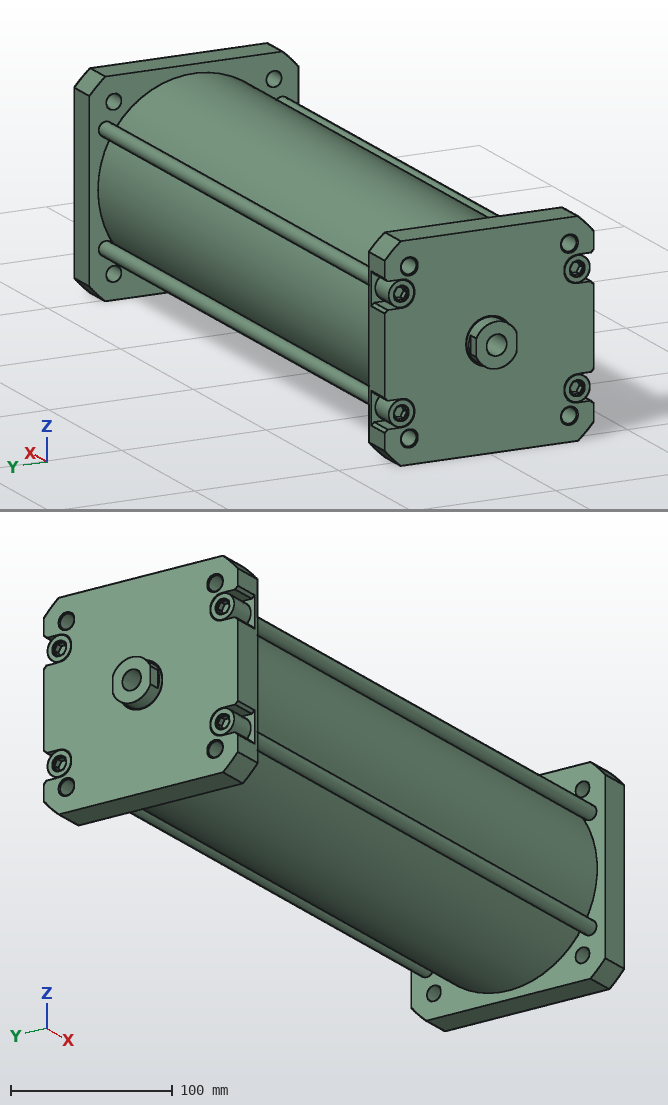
import cadquery as cq
import math

TOTAL_LENGTH = 438.0
ROD_PROTRUSION = 10.0
FRONT_THICKNESS = 22.0
TUBE_LENGTH = 384.0
TIE_ROD_PROTRUSION = 1.0
REAR_THICKNESS = TOTAL_LENGTH - ROD_PROTRUSION - FRONT_THICKNESS - TUBE_LENGTH - TIE_ROD_PROTRUSION
REAR_PLATE_X = FRONT_THICKNESS + TUBE_LENGTH
TIE_ROD_END_X = REAR_PLATE_X + REAR_THICKNESS + TIE_ROD_PROTRUSION

PLATE_SIDE = 145.0
CORNER_CIRCLE_DIAMETER = 190.0
MOUNT_HOLE_DIAMETER = 10.5
MOUNT_HOLE_CHAMFER = 0.75
MOUNT_HOLE_SPACING = 111.0
ROD_BORE_CHAMFER = 1.0

TUBE_OUTER_DIAMETER = 133.0
TUBE_INNER_DIAMETER = 125.0

TIE_ROD_DIAMETER = 10.0
TIE_ROD_SPACING_Y = 122.0
TIE_ROD_SPACING_Z = 77.0
HEAD_DIAMETER = 17.5
HEAD_LENGTH = 18.5
SOCKET_ACROSS_FLATS = 8.0
SOCKET_DEPTH = 6.0
SOCKET_RIM_DIAMETER = 10.5
SOCKET_RIM_DEPTH = 1.5
SLOT_WIDTH = 18.5
SLOT_DEPTH = HEAD_LENGTH
SLOT_MOUTH_CHAMFER = 2.0

ROD_DIAMETER = 30.5
ROD_ACROSS_FLATS = 28.0
FLAT_LENGTH = 8.0
ROD_HOLE_DIAMETER = 14.0
ROD_HOLE_DEPTH = 25.0
DRILL_TIP_ANGLE = 118.0


def cylinder(start_x, length, diameter, y=0.0, z=0.0):
    """Solid cylinder along +X."""
    return cq.Workplane("YZ", origin=(start_x, y, z)).circle(diameter / 2).extrude(length)


def countersink(start_x, diameter, chamfer, y=0.0, z=0.0):
    """45 degree cone that breaks the rim of a hole opening at start_x and running along +X."""
    rim = cq.Workplane("YZ", origin=(start_x, y, z)).circle(diameter / 2 + chamfer)
    return rim.extrude(chamfer, taper=45)


def corner_points(spacing_y, spacing_z):
    """Four points placed symmetrically about the X axis."""
    return [(i * spacing_y / 2, j * spacing_z / 2) for i in (-1, 1) for j in (-1, 1)]


MOUNT_POINTS = corner_points(MOUNT_HOLE_SPACING, MOUNT_HOLE_SPACING)
TIE_ROD_POINTS = corner_points(TIE_ROD_SPACING_Y, TIE_ROD_SPACING_Z)


def blank_plate(start_x, thickness):
    """Square plate with turned corners, mounting holes and tie rod holes."""
    plate = cq.Workplane("YZ", origin=(start_x, 0, 0)).rect(PLATE_SIDE, PLATE_SIDE).extrude(thickness)
    plate = plate.intersect(cylinder(start_x, thickness, CORNER_CIRCLE_DIAMETER))
    for y, z in MOUNT_POINTS:
        plate = plate.cut(cylinder(start_x, thickness, MOUNT_HOLE_DIAMETER, y, z))
    for y, z in TIE_ROD_POINTS:
        plate = plate.cut(cylinder(start_x, thickness, TIE_ROD_DIAMETER, y, z))
    return plate


def head_slot(y, z):
    """Round-ended slot, open to the nearest Y side through a chamfered mouth."""
    side = math.copysign(1, y)
    edge = side * PLATE_SIDE / 2
    chamfer_start = edge - side * SLOT_MOUTH_CHAMFER
    half_width = SLOT_WIDTH / 2
    half_mouth = half_width + SLOT_MOUTH_CHAMFER
    return (
        cq.Workplane("YZ")
        .moveTo(y, z + half_width)
        .lineTo(chamfer_start, z + half_width)
        .lineTo(edge, z + half_mouth)
        .lineTo(edge, z - half_mouth)
        .lineTo(chamfer_start, z - half_width)
        .lineTo(y, z - half_width)
        .threePointArc((y - side * half_width, z), (y, z + half_width))
        .close()
        .extrude(SLOT_DEPTH)
    )


def make_front_plate():
    plate = blank_plate(0, FRONT_THICKNESS)
    plate = plate.cut(cylinder(0, FRONT_THICKNESS, ROD_DIAMETER))
    plate = plate.cut(countersink(0, ROD_DIAMETER, ROD_BORE_CHAMFER))
    for y, z in MOUNT_POINTS:
        plate = plate.cut(countersink(0, MOUNT_HOLE_DIAMETER, MOUNT_HOLE_CHAMFER, y, z))
    for y, z in TIE_ROD_POINTS:
        plate = plate.cut(head_slot(y, z))
    return plate


def make_rear_plate():
    return blank_plate(REAR_PLATE_X, REAR_THICKNESS)


def make_tube():
    bore = cylinder(FRONT_THICKNESS, TUBE_LENGTH, TUBE_INNER_DIAMETER)
    return cylinder(FRONT_THICKNESS, TUBE_LENGTH, TUBE_OUTER_DIAMETER).cut(bore)


def make_tie_rod(y, z):
    """Tie rod with a hexagon socket, counterbored at its rim, in the head."""
    head = cylinder(0, HEAD_LENGTH, HEAD_DIAMETER, y, z)
    shank = cylinder(0, TIE_ROD_END_X, TIE_ROD_DIAMETER, y, z)
    socket_corners = SOCKET_ACROSS_FLATS / math.cos(math.radians(30))
    socket = cq.Workplane("YZ", origin=(0, y, z)).polygon(6, socket_corners).extrude(SOCKET_DEPTH)
    rim = cylinder(0, SOCKET_RIM_DEPTH, SOCKET_RIM_DIAMETER, y, z)
    return head.union(shank).cut(socket).cut(rim)


def make_piston_rod():
    """Rod with two wrench flats and a drilled hole in its tip."""
    rod = cylinder(-ROD_PROTRUSION, ROD_PROTRUSION + FRONT_THICKNESS, ROD_DIAMETER)
    tip_plane = cq.Workplane("YZ", origin=(-ROD_PROTRUSION, 0, 0))
    flat_waste = (
        tip_plane.rect(2 * ROD_DIAMETER, 2 * ROD_DIAMETER)
        .rect(ROD_ACROSS_FLATS, 2 * ROD_DIAMETER)
        .extrude(FLAT_LENGTH)
    )
    hole_radius = ROD_HOLE_DIAMETER / 2
    tip_length = hole_radius / math.tan(math.radians(DRILL_TIP_ANGLE / 2))
    hole_bottom = ROD_HOLE_DEPTH - ROD_PROTRUSION
    hole = (
        cq.Workplane("XY")
        .moveTo(-ROD_PROTRUSION, 0)
        .lineTo(-ROD_PROTRUSION, hole_radius)
        .lineTo(hole_bottom, hole_radius)
        .lineTo(hole_bottom + tip_length, 0)
        .close()
        .revolve(360, (0, 0, 0), (1, 0, 0))
    )
    return rod.cut(flat_waste).cut(hole)


front_plate = make_front_plate()
rear_plate = make_rear_plate()
tube = make_tube()
piston_rod = make_piston_rod()
tie_rods = [make_tie_rod(y, z) for y, z in TIE_ROD_POINTS]

result = cq.Compound.makeCompound(
    [front_plate.val(), rear_plate.val(), tube.val(), piston_rod.val()] + [rod.val() for rod in tie_rods]
)